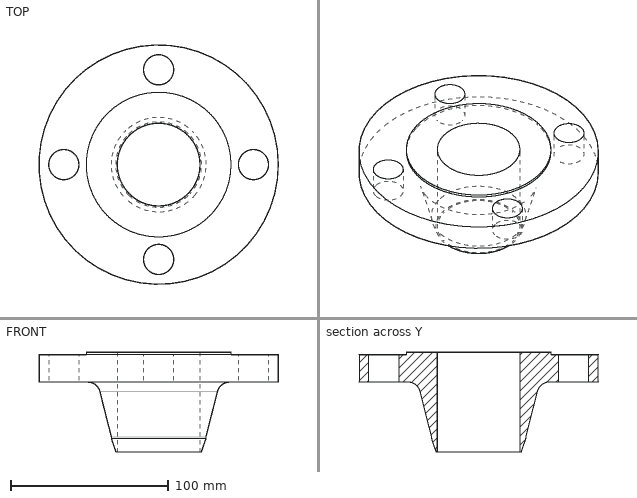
import cadquery as cq

flange_diameter = 152.4
flange_thickness = 17.5
face_diameter = 92.1
face_height = 1.6
overall_height = 63.5

bore_diameter = 52.5
bolt_hole_diameter = 19.05
bolt_circle_diameter = 120.65
bolt_count = 4

hub_base_diameter = 78.0
pipe_diameter = 60.3
hub_fillet_radius = 7.8
weld_land = 1.0

bevel_height = 8.6
bevel_end_diameter = 54.5

flange_top = overall_height - face_height
flange_bottom = flange_top - flange_thickness
taper_end = bevel_height + weld_land
over_cut = 1.0


def make_hub():
    """Revolved hub: weld bevel, short straight land and taper up to the flange."""
    profile = [
        (0, 0),
        (bevel_end_diameter / 2, 0),
        (pipe_diameter / 2, bevel_height),
        (pipe_diameter / 2, taper_end),
        (hub_base_diameter / 2, flange_bottom),
        (0, flange_bottom),
    ]
    return cq.Workplane("XZ").polyline(profile).close().revolve(360, (0, 0, 0), (0, 1, 0))


def make_disc(diameter, height, base_z):
    return cq.Workplane("XY").workplane(offset=base_z).circle(diameter / 2).extrude(height)


def fillet_hub_root(body):
    """Blend the hub into the underside of the flange."""
    reach = hub_base_diameter / 2 + over_cut
    box = cq.selectors.BoxSelector(
        (-reach, -reach, flange_bottom - over_cut),
        (reach, reach, flange_bottom + over_cut),
        boundingbox=True,
    )
    return body.edges(box).fillet(hub_fillet_radius)


def make_holes():
    bore = make_disc(bore_diameter, overall_height + 2 * over_cut, -over_cut)
    bolt_holes = (
        cq.Workplane("XY")
        .workplane(offset=flange_bottom - over_cut)
        .polarArray(bolt_circle_diameter / 2, 0, 360, bolt_count)
        .circle(bolt_hole_diameter / 2)
        .extrude(flange_thickness + 2 * over_cut)
    )
    return bore.union(bolt_holes)


flange = make_disc(flange_diameter, flange_thickness, flange_bottom)
raised_face = make_disc(face_diameter, face_height, flange_top)
body = fillet_hub_root(make_hub().union(flange))
result = body.union(raised_face).cut(make_holes())